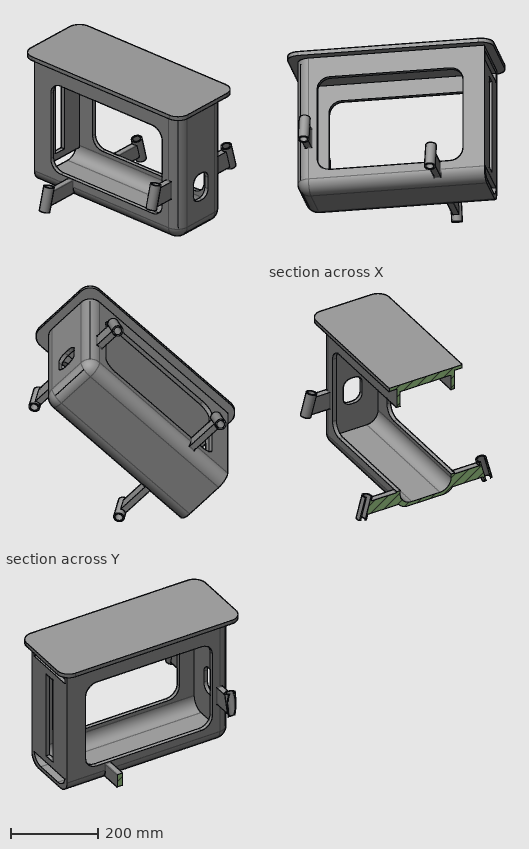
import cadquery as cq

PLATE_LENGTH = 480.0
PLATE_WIDTH = 195.0
PLATE_THICKNESS = 10.0
CORNER_RADIUS = 30.0

PLATE_OVERHANG = 20.0
WALL = 10.0
HOUSING_LENGTH = PLATE_LENGTH - 2 * PLATE_OVERHANG
HOUSING_WIDTH = PLATE_WIDTH - 2 * PLATE_OVERHANG
HOUSING_HEIGHT = 330.0
HOUSING_TOP = -PLATE_THICKNESS
HOUSING_BOTTOM = HOUSING_TOP - HOUSING_HEIGHT
HOUSING_MID_Z = (HOUSING_TOP + HOUSING_BOTTOM) / 2

CAVITY_LENGTH = HOUSING_LENGTH - 2 * WALL
CAVITY_WIDTH = HOUSING_WIDTH - 2 * WALL
CAVITY_HEIGHT = HOUSING_HEIGHT - 2 * WALL
CAVITY_TOP = HOUSING_TOP - WALL
CAVITY_BOTTOM = HOUSING_BOTTOM + WALL

WINDOW_MARGIN = 50.0
WINDOW_LENGTH = HOUSING_LENGTH - 2 * WINDOW_MARGIN
WINDOW_HEIGHT = HOUSING_HEIGHT - 2 * WINDOW_MARGIN

TOP_SLOT_HEIGHT = 22.5
BOTTOM_SLOT_HEIGHT = 25.0
CENTRE_SLOT_WIDTH = 30.0
CENTRE_SLOT_HEIGHT = 225.0

PORT_WIDTH = 50.0
PORT_HEIGHT = 70.0
PORT_RADIUS = 20.0
PORT_Z = -224.0

TUBE_LENGTH = 60.0
TUBE_DIAMETER = 25.0
BORE_DIAMETER = 18.0
TUBE_TILT = 15.0
ARM_THICKNESS = 15.0
ARM_FILLET = 1.0

LOWER_ARM_X = -110.0
LOWER_ARM_HEIGHT = 35.0
LOWER_TUBE_Y = 159.42
LOWER_TUBE_Z = -309.95

UPPER_ARM_X = HOUSING_LENGTH / 2 - CORNER_RADIUS
UPPER_ARM_HEIGHT = 45.0
UPPER_TUBE_Y = 129.5
UPPER_TUBE_Z = -207.0
UPPER_ARM_Z = -210.0


def make_plate():
    plate = cq.Workplane("XY").box(
        PLATE_LENGTH, PLATE_WIDTH, PLATE_THICKNESS, centered=(True, True, False)
    )
    return plate.edges("|Z").fillet(CORNER_RADIUS).translate((0, 0, -PLATE_THICKNESS))


def make_housing_block():
    block = cq.Workplane("XY").box(HOUSING_LENGTH, HOUSING_WIDTH, HOUSING_HEIGHT)
    block = block.edges("(|Z and >X) or (|X and <Z) or (|Y and >X and <Z)").fillet(CORNER_RADIUS)
    return block.translate((0, 0, HOUSING_MID_Z))


def make_cavity():
    cavity = cq.Workplane("XY").box(CAVITY_LENGTH, CAVITY_WIDTH, CAVITY_HEIGHT)
    cavity = cavity.edges("|X and <Z").fillet(CORNER_RADIUS)
    return cavity.translate((0, 0, HOUSING_MID_Z))


def make_windows():
    window = cq.Workplane("XY").box(WINDOW_LENGTH, 2 * HOUSING_WIDTH, WINDOW_HEIGHT)
    return window.edges("|Y").fillet(CORNER_RADIUS).translate((0, 0, HOUSING_MID_Z))


def make_end_slots():
    """Openings through the -X wall; the outer two follow the cavity's ceiling and floor."""
    wall_x = -(HOUSING_LENGTH - WALL) / 2
    slots = cq.Workplane("XY").box(WALL, CENTRE_SLOT_WIDTH, CENTRE_SLOT_HEIGHT)
    slots = slots.translate((wall_x, 0, HOUSING_MID_Z))
    extended_cavity = make_cavity().translate((-WALL, 0, 0))
    bands = (
        (TOP_SLOT_HEIGHT, CAVITY_TOP - TOP_SLOT_HEIGHT / 2),
        (BOTTOM_SLOT_HEIGHT, CAVITY_BOTTOM + BOTTOM_SLOT_HEIGHT / 2),
    )
    for height, mid_z in bands:
        band = cq.Workplane("XY").box(WALL, HOUSING_WIDTH, height).translate((wall_x, 0, mid_z))
        slots = slots.union(band.intersect(extended_cavity))
    return slots


def make_port():
    port = cq.Workplane("XY").box(2 * WALL, PORT_WIDTH, PORT_HEIGHT)
    port = port.edges("|X").fillet(PORT_RADIUS)
    return port.translate(((HOUSING_LENGTH - WALL) / 2, 0, PORT_Z))


def tilted_cylinder(diameter, x, y, z):
    """Cylinder on the -Y side whose upper end leans towards the housing."""
    cylinder = cq.Workplane("XY").cylinder(TUBE_LENGTH, diameter / 2)
    return cylinder.rotate((0, 0, 0), (1, 0, 0), -TUBE_TILT).translate((x, -y, z))


def make_arms(x, y, z, height):
    """A bar across the housing whose two ends reach the tube axes."""
    return cq.Workplane("XY").box(ARM_THICKNESS, 2 * y, height).translate((x, 0, z))


def fillet_arm_bases(body, x, z, height):
    """Round the corners where a pair of arms meets the long sides of the housing."""
    margin = 2 * ARM_FILLET
    half_length = ARM_THICKNESS / 2 + margin
    half_height = height / 2 + margin
    for side in (-1, 1):
        wall_y = side * HOUSING_WIDTH / 2
        zone = cq.selectors.BoxSelector(
            (x - half_length, wall_y - CORNER_RADIUS / 2, z - half_height),
            (x + half_length, wall_y + margin, z + half_height),
            boundingbox=True,
        )
        body = body.edges(zone).fillet(ARM_FILLET)
    return body


def add_tubes(body, x, y, z):
    """Add a tube on each long side and open its bore."""
    tube = tilted_cylinder(TUBE_DIAMETER, x, y, z)
    bore = tilted_cylinder(BORE_DIAMETER, x, y, z)
    body = body.union(tube).union(tube.mirror("XZ"))
    return body.cut(bore).cut(bore.mirror("XZ"))


lower_arms = make_arms(LOWER_ARM_X, LOWER_TUBE_Y, LOWER_TUBE_Z, LOWER_ARM_HEIGHT)
lower_arms = lower_arms.edges("|Y and >Z").fillet(ARM_FILLET)
upper_arms = make_arms(UPPER_ARM_X, UPPER_TUBE_Y, UPPER_ARM_Z, UPPER_ARM_HEIGHT)

result = make_housing_block().union(lower_arms).union(upper_arms)
result = fillet_arm_bases(result, LOWER_ARM_X, LOWER_TUBE_Z, LOWER_ARM_HEIGHT)
result = fillet_arm_bases(result, UPPER_ARM_X, UPPER_ARM_Z, UPPER_ARM_HEIGHT)
for opening in (make_cavity(), make_windows(), make_end_slots(), make_port()):
    result = result.cut(opening)
result = add_tubes(result, LOWER_ARM_X, LOWER_TUBE_Y, LOWER_TUBE_Z)
result = add_tubes(result, UPPER_ARM_X, UPPER_TUBE_Y, UPPER_TUBE_Z)
result = result.union(make_plate())